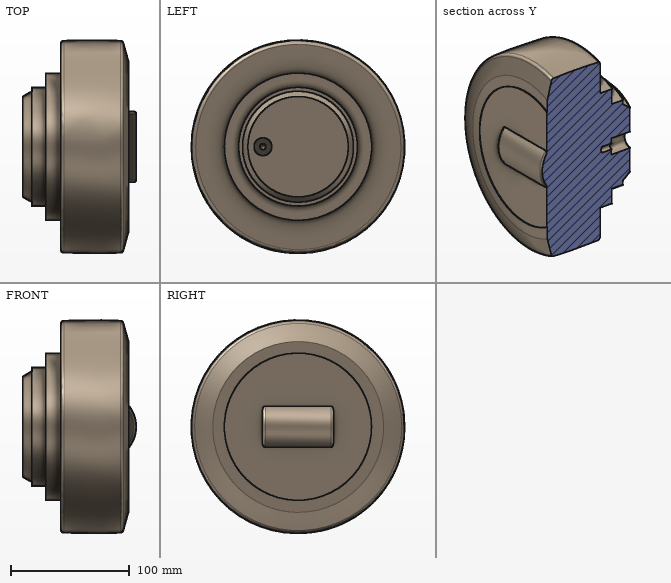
import cadquery as cq
import math

NOSE_END = 7.7
SHANK_END = 19.3
ROLLER_START = 31.9
RIM_FACE = 89.1
BODY_END = 89.5
OVERALL_LENGTH = 95.7

SHANK_RADIUS = 50.0
NOSE_RADIUS = 46.75
FLANGE_RADIUS = 62.0
ROLLER_RADIUS = 90.0
RIM_FACE_RADIUS = 72.0

NOSE_ANGLE = 30.0
RIM_ANGLE = 15.0
CROWN_RADIUS = 500.0
CROWN_CENTER_X = 58.5
ROLLER_FILLET = 3.0

SIDE_ROLLER_RADIUS = 27.5
SIDE_ROLLER_LENGTH = 60.0
SIDE_ROLLER_FILLET = 2.5

HOLE_OFFSET_Y = 29.6
BORE_DIAMETER = 15.0
BORE_DEPTH = 20.0
PILOT_DIAMETER = 5.0
PILOT_DEPTH = 10.0
DRILL_POINT_ANGLE = 118.0


def crown_radius_at(x):
    """Radius of the crowned running surface at station x."""
    offset = x - CROWN_CENTER_X
    sag = CROWN_RADIUS - math.sqrt(CROWN_RADIUS**2 - offset**2)
    return ROLLER_RADIUS - sag


def make_hub():
    """Stepped shaft with a tapered nose and a flange that reaches the far end face."""
    nose_tip_radius = NOSE_RADIUS - NOSE_END * math.tan(math.radians(NOSE_ANGLE))
    outline = [
        (0, 0),
        (0, nose_tip_radius),
        (NOSE_END, NOSE_RADIUS),
        (NOSE_END, SHANK_RADIUS),
        (SHANK_END, SHANK_RADIUS),
        (SHANK_END, FLANGE_RADIUS),
        (BODY_END, FLANGE_RADIUS),
        (BODY_END, 0),
    ]
    return cq.Workplane("XY").polyline(outline).close().revolve(360, (0, 0, 0), (1, 0, 0))


def make_main_roller():
    """Crowned roller with a tapered rim on its far side and rounded outer edges."""
    rim_height = ROLLER_RADIUS - RIM_FACE_RADIUS
    crown_end = RIM_FACE - rim_height * math.tan(math.radians(RIM_ANGLE))
    roller = (
        cq.Workplane("XY")
        .moveTo(ROLLER_START, 0)
        .lineTo(ROLLER_START, crown_radius_at(ROLLER_START))
        .threePointArc((CROWN_CENTER_X, ROLLER_RADIUS), (crown_end, crown_radius_at(crown_end)))
        .lineTo(RIM_FACE, RIM_FACE_RADIUS)
        .lineTo(RIM_FACE, 0)
        .close()
        .revolve(360, (0, 0, 0), (1, 0, 0))
    )
    near_edge = roller.faces("<X").edges().vals()
    far_edge = roller.faces("%CONE").edges("<X").vals()
    return roller.newObject(near_edge + far_edge).fillet(ROLLER_FILLET)


def make_side_roller():
    """Axial roller with rounded ends, reaching out to the overall length."""
    return (
        cq.Workplane("XZ")
        .center(OVERALL_LENGTH - SIDE_ROLLER_RADIUS, 0)
        .circle(SIDE_ROLLER_RADIUS)
        .extrude(SIDE_ROLLER_LENGTH / 2, both=True)
        .faces("|Y")
        .edges()
        .fillet(SIDE_ROLLER_FILLET)
    )


def make_stepped_hole():
    """Bore and pilot hole with a conical drill point, opening at the nose face."""
    bore_radius = BORE_DIAMETER / 2
    pilot_radius = PILOT_DIAMETER / 2
    pilot_end = BORE_DEPTH + PILOT_DEPTH
    point_length = pilot_radius / math.tan(math.radians(DRILL_POINT_ANGLE / 2))
    outline = [
        (0, 0),
        (0, bore_radius),
        (BORE_DEPTH, bore_radius),
        (BORE_DEPTH, pilot_radius),
        (pilot_end, pilot_radius),
        (pilot_end + point_length, 0),
    ]
    hole = cq.Workplane("XY").polyline(outline).close().revolve(360, (0, 0, 0), (1, 0, 0))
    return hole.translate((0, HOLE_OFFSET_Y, 0))


body = make_hub().union(make_main_roller()).union(make_side_roller())
result = body.cut(make_stepped_hole())